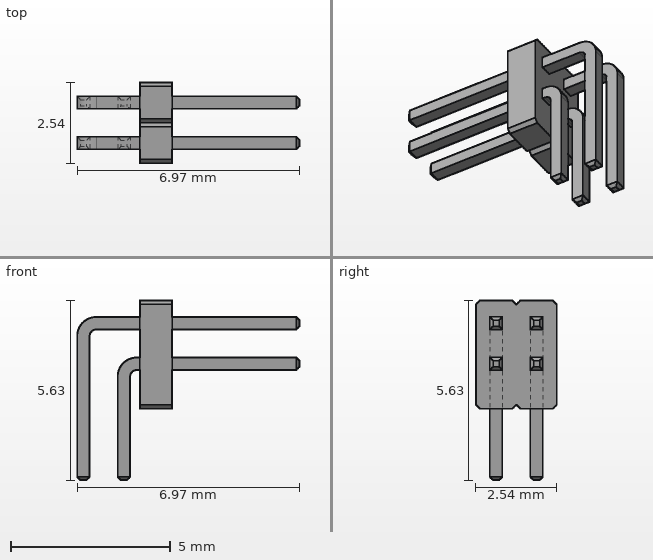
import cadquery as cq

total_length = 6.97
total_height = 5.63
pitch = 1.27
pins_along_y = 2
rows = 2

pin_size = 0.4
bend_inner_radius = 0.21
bend_outer_radius = bend_inner_radius + pin_size
tip_chamfer = 0.105

body_start = 1.965
body_width = 1.01
body_height = 3.395
body_chamfer = 0.125
pin_drop = 0.515


def make_body_cell(y_center):
    """One chamfered block of the body, holding the pins at one Y position."""
    return (
        cq.Workplane("XY")
        .box(body_width, pitch, body_height, centered=(False, True, False))
        .edges("|X")
        .chamfer(body_chamfer)
        .translate((body_start, y_center, total_height - body_height))
    )


def make_pin(row, y_center):
    """Right-angle square pin; row 0 is the outer, longest one."""
    left = row * pitch
    top = total_height - pin_drop - row * pitch
    pin = (
        cq.Workplane("XZ", origin=(0, y_center, 0))
        .moveTo(left, 0)
        .lineTo(left, top - bend_outer_radius)
        .radiusArc((left + bend_outer_radius, top), bend_outer_radius)
        .lineTo(total_length, top)
        .lineTo(total_length, top - pin_size)
        .lineTo(left + bend_outer_radius, top - pin_size)
        .radiusArc((left + pin_size, top - bend_outer_radius), -bend_inner_radius)
        .lineTo(left + pin_size, 0)
        .close()
        .extrude(pin_size / 2, both=True)
    )
    return pin.faces("<Z or >X").chamfer(tip_chamfer)


y_positions = [(i - (pins_along_y - 1) / 2) * pitch for i in range(pins_along_y)]

result = make_body_cell(y_positions[0])
for y_center in y_positions[1:]:
    result = result.union(make_body_cell(y_center))
for y_center in y_positions:
    for row in range(rows):
        result = result.union(make_pin(row, y_center))